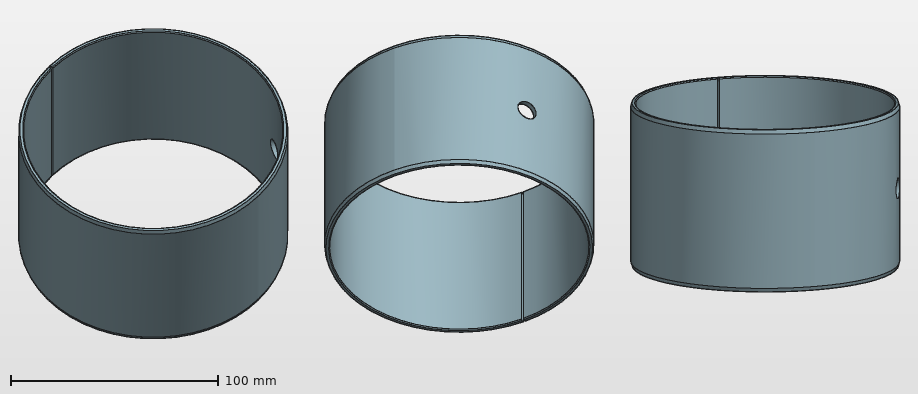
import cadquery as cq

outer_diameter = 130.0
wall = 2.5
height = 80.0
inner_diameter = outer_diameter - 2 * wall

outer_chamfer_height = 2.0
outer_chamfer_width = 0.6
inner_chamfer = 0.5

gap_width = 1.0

hole_diameter = 10.0
hole_angle = 59.0
hole_height = height / 2


def make_sleeve():
    """Revolve the wall section, chamfered at both ends, about Z."""
    outer_radius = outer_diameter / 2
    inner_radius = inner_diameter / 2
    section = [
        (inner_radius, inner_chamfer),
        (inner_radius + inner_chamfer, 0),
        (outer_radius - outer_chamfer_width, 0),
        (outer_radius, outer_chamfer_height),
        (outer_radius, height - outer_chamfer_height),
        (outer_radius - outer_chamfer_width, height),
        (inner_radius + inner_chamfer, height),
        (inner_radius, height - inner_chamfer),
    ]
    return cq.Workplane("XZ").polyline(section).close().revolve(360, (0, 0), (0, 1))


def make_joint_cutter():
    """Full-height slot through the -X wall."""
    return cq.Workplane("XY").rect(outer_diameter, gap_width).extrude(height).translate(
        (-outer_diameter / 2, gap_width / 2, 0)
    )


def make_hole_cutter():
    """Radial cylinder from the axis out through one wall."""
    cutter = cq.Workplane("YZ").circle(hole_diameter / 2).extrude(outer_diameter)
    return cutter.rotate((0, 0, 0), (0, 0, 1), hole_angle).translate((0, 0, hole_height))


result = make_sleeve().cut(make_joint_cutter()).cut(make_hole_cutter())